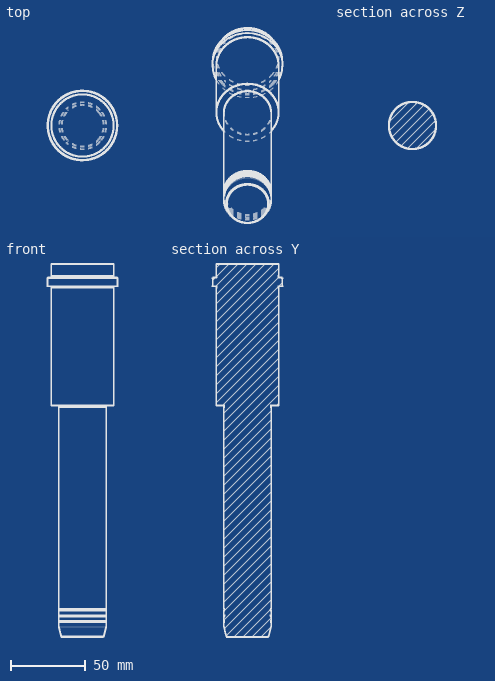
import cadquery as cq

total_length = 250.0
shaft_diameter = 32.0
body_diameter = 42.0
body_length = 95.0
body_chamfer = 0.2

collar_diameter = 47.0
collar_top_offset = 9.0
collar_height = 6.0
collar_chamfer = 0.5

relief_depth = 0.2
relief_width = 1.0

tip_diameter = 28.5
tip_chamfer = 0.5
taper_length = 7.0

groove_depth = 0.5
grooves = ((10.5, 1.0), (14.2, 1.0), (18.2, 1.5))

body_bottom = total_length - body_length
collar_top = total_length - collar_top_offset
collar_bottom = collar_top - collar_height


def cylinder(diameter, bottom, height):
    """Solid cylinder on the pin axis."""
    return cq.Workplane("XY").workplane(offset=bottom).circle(diameter / 2).extrude(height)


def relief_ring(diameter, bottom):
    """Square-bottomed ring to cut from a surface of the given diameter."""
    outer = cylinder(diameter + relief_depth, bottom, relief_width)
    return outer.cut(cylinder(diameter - 2 * relief_depth, bottom, relief_width))


def groove_ring(center_height, width):
    """V-shaped ring to cut from the shaft surface."""
    radius = shaft_diameter / 2
    profile = [
        (radius, center_height - width / 2),
        (radius - groove_depth, center_height),
        (radius, center_height + width / 2),
    ]
    return cq.Workplane("XZ").polyline(profile).close().revolve(360, (0, 0), (0, 1))


def make_shaft():
    """Straight shaft on a tapered, chamfered tip, with its grooves and upper relief."""
    taper = (
        cq.Workplane("XY")
        .circle(tip_diameter / 2)
        .workplane(offset=taper_length)
        .circle(shaft_diameter / 2)
        .loft()
        .faces("<Z")
        .edges()
        .chamfer(tip_chamfer)
    )
    shaft = taper.union(cylinder(shaft_diameter, taper_length, body_bottom - taper_length))
    for center_height, width in grooves:
        shaft = shaft.cut(groove_ring(center_height, width))
    return shaft.cut(relief_ring(shaft_diameter, body_bottom - relief_width))


def make_body():
    """Thick upper body with the collar and a relief on each side of it."""
    body = cylinder(body_diameter, body_bottom, body_length)
    body = body.faces("<Z or >Z").edges().chamfer(body_chamfer)
    for relief_bottom in (collar_top, collar_bottom - relief_width):
        body = body.cut(relief_ring(body_diameter, relief_bottom))
    collar = cylinder(collar_diameter, collar_bottom, collar_height)
    collar = collar.faces(">Z").edges().chamfer(collar_chamfer)
    return body.union(collar)


result = make_shaft().union(make_body())